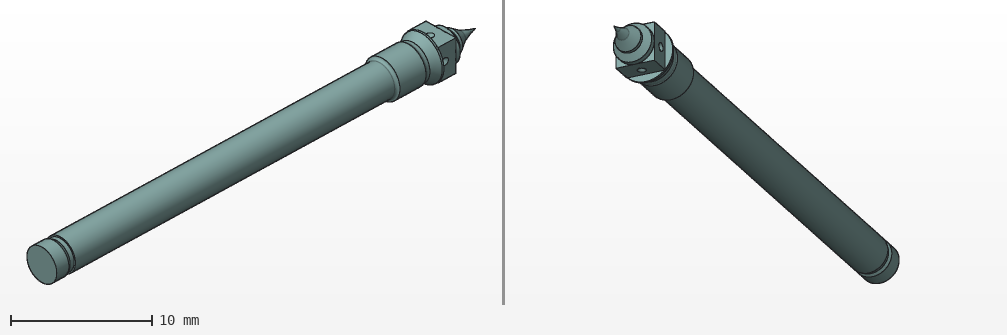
import cadquery as cq
import math

length = 43.1
tip_y = length / 2
rear_y = -length / 2

body_radius = 1.5
groove_radius = 1.4
groove_rear = 1.2
groove_floor_rear = 1.45
groove_front = 1.85

sleeve_radius = 1.75
sleeve_rear = 9.25
sleeve_front = 6.7
chamfer_radius = 1.72
chamfer_front = 6.55
neck_radius = 1.7
neck_front = 6.2
flange_radius = 2.09
flange_rear = 5.4
flange_front = 5.2
flare_sag = 0.05

head_width = 2 * body_radius
head_front = 3.45
nose_shoulder = 3.0
collar_radius = 1.015
collar_rear = 2.55
collar_front = 2.3
needle_radius = 0.47
needle_rear = 1.45
point_radius = 0.17
point_rear = 0.65

dimple_radius = 0.325
dimple_depth = dimple_radius
dimple_from_tip = 4.53
flat_count = 4


def behind_tip(radius, distance):
    """Profile point at a radius and a distance behind the tip."""
    return (radius, tip_y - distance)


def ahead_of_rear(radius, distance):
    """Profile point at a radius and a distance ahead of the rear face."""
    return (radius, rear_y + distance)


def make_turned_body():
    fillet_radius = sleeve_radius - body_radius
    fillet_rear = sleeve_rear + fillet_radius
    fillet_offset = fillet_radius * math.sqrt(0.5)
    fillet_middle = behind_tip(sleeve_radius - fillet_offset, fillet_rear - fillet_offset)

    flare_middle = behind_tip((neck_radius + flange_radius) / 2 - flare_sag, (neck_front + flange_rear) / 2)

    profile = (
        cq.Workplane("XY")
        .moveTo(0, rear_y)
        .lineTo(*ahead_of_rear(body_radius, 0))
        .lineTo(*ahead_of_rear(body_radius, groove_rear))
        .lineTo(*ahead_of_rear(groove_radius, groove_floor_rear))
        .lineTo(*ahead_of_rear(groove_radius, groove_front))
        .lineTo(*ahead_of_rear(body_radius, groove_front))
        .lineTo(*behind_tip(body_radius, fillet_rear))
        .threePointArc(fillet_middle, behind_tip(sleeve_radius, sleeve_rear))
        .lineTo(*behind_tip(sleeve_radius, sleeve_front))
        .lineTo(*behind_tip(chamfer_radius, chamfer_front))
        .lineTo(*behind_tip(neck_radius, neck_front))
        .threePointArc(flare_middle, behind_tip(flange_radius, flange_rear))
        .lineTo(*behind_tip(flange_radius, flange_front))
        .lineTo(*behind_tip(body_radius, flange_front))
        .lineTo(*behind_tip(body_radius, nose_shoulder))
        .lineTo(*behind_tip(collar_radius, collar_rear))
        .lineTo(*behind_tip(collar_radius, collar_front))
        .lineTo(*behind_tip(needle_radius, needle_rear))
        .lineTo(*behind_tip(point_radius, point_rear))
        .lineTo(0, tip_y)
        .close()
    )
    return profile.revolve(360, (0, 0, 0), (0, 1, 0))


def make_square_head():
    head_length = flange_front - head_front
    middle_y = tip_y - (flange_front + head_front) / 2
    return cq.Workplane("XY").box(head_width, head_length, head_width).translate((0, middle_y, 0))


def make_dimple(angle):
    """Cone sunk into the top flat, turned about the Y axis to another flat."""
    mouth = cq.Vector(0, tip_y - dimple_from_tip, head_width / 2)
    inward = cq.Vector(0, 0, -1)
    cone = cq.Solid.makeCone(dimple_radius, 0, dimple_depth, mouth, inward)
    return cq.Workplane(cone).rotate((0, 0, 0), (0, 1, 0), angle)


result = make_turned_body().union(make_square_head())
for flat in range(flat_count):
    result = result.cut(make_dimple(flat * 360 / flat_count))